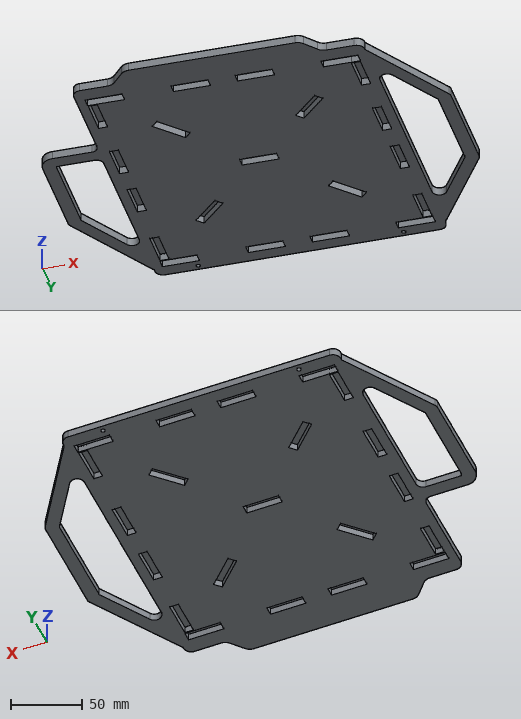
import cadquery as cq
import math

thickness = 6.3
body_half_width = 106.2
body_top_y = 120.0
body_bottom_y = -106.0
body_corner_radius = 6.0

tab_bottom_y = -120.0
tab_root_half_width = 76.5
tab_tip_half_width = 64.2
tab_radius = 7.5

handle_x = 150.0
handle_wall = 10.0
handle_middle_y = 6.5
handle_root_y = 112.5
handle_bend_y = 45.0
handle_bend_radius = 5.0
left_handle_bottom_y = -33.5
left_handle_corner_radius = handle_wall
left_handle_root_radius = 5.0

window_inner_x = 106.8
window_end_radius = 5.5
window_corner_radius = 1.5

hole_diameter = 3.0
hole_x = 75.0
hole_y = 115.8

pocket_length = 27.0
pocket_width = 6.5
pocket_skin = 0.7
pocket_depth = thickness - pocket_skin

inner_center_y = 6.0
column_x = 96.0
inner_column_y = 23.5
diagonal_offset = 50.5

frame_center_y = 8.0
row_y = 98.7
row_inner_x = 23.5
row_corner_x = 86.0
frame_column_y = 81.0

slope_run = handle_x - body_half_width
slope_rise = handle_root_y - handle_bend_y
slope_wall_y = handle_wall * math.hypot(slope_run, slope_rise) / slope_run
window_outer_x = handle_x - handle_wall


def prism(points):
    return cq.Workplane("XY").polyline(points).close().extrude(thickness)


def round_corners(solid, radius, points):
    """Fillet the upright edges that stand at the given points."""
    reach = 0.3
    for x, y in points:
        near_point = cq.selectors.BoxSelector(
            (x - reach, y - reach, -reach),
            (x + reach, y + reach, thickness + reach),
        )
        solid = solid.edges("|Z").edges(near_point).fillet(radius)
    return solid


def below_middle(y):
    """Mirror a Y position about the middle of the handles."""
    return 2 * handle_middle_y - y


def window_slope_y(x):
    """Y of the upper sloping window edge at distance x from the plate's center line."""
    outer_edge_y = handle_root_y - (x - body_half_width) * slope_rise / slope_run
    return outer_edge_y - slope_wall_y


def plate():
    top_left = (-body_half_width, body_top_y)
    top_right = (body_half_width, body_top_y)
    bottom_left = (-body_half_width, body_bottom_y)
    bottom_right = (body_half_width, body_bottom_y)

    right_upper_bend = (handle_x, handle_bend_y)
    right_lower_bend = (handle_x, below_middle(handle_bend_y))
    left_bend = (-handle_x, handle_bend_y)
    left_corner = (-handle_x, left_handle_bottom_y)
    left_root = (-body_half_width, left_handle_bottom_y)

    tab_right = [(tab_root_half_width, body_bottom_y), (tab_tip_half_width, tab_bottom_y)]
    tab_left = [(-tab_tip_half_width, tab_bottom_y), (-tab_root_half_width, body_bottom_y)]

    outline = [
        top_left,
        top_right,
        (body_half_width, handle_root_y),
        right_upper_bend,
        right_lower_bend,
        (body_half_width, below_middle(handle_root_y)),
        bottom_right,
        *tab_right,
        *tab_left,
        bottom_left,
        left_root,
        left_corner,
        left_bend,
        (-body_half_width, handle_root_y),
    ]
    solid = prism(outline)
    solid = round_corners(solid, body_corner_radius, [top_left, top_right, bottom_right, bottom_left])
    solid = round_corners(solid, tab_radius, tab_right + tab_left)
    solid = round_corners(solid, handle_bend_radius, [right_upper_bend, right_lower_bend, left_bend])
    solid = round_corners(solid, left_handle_corner_radius, [left_corner])
    return round_corners(solid, left_handle_root_radius, [left_root])


def right_window():
    tip_y = window_slope_y(window_inner_x)
    bend_y = window_slope_y(window_outer_x)
    upper_tip = (window_inner_x, tip_y)
    lower_tip = (window_inner_x, below_middle(tip_y))
    upper_bend = (window_outer_x, bend_y)
    lower_bend = (window_outer_x, below_middle(bend_y))
    window = prism([upper_tip, upper_bend, lower_bend, lower_tip])
    return round_corners(window, window_end_radius, [upper_tip, lower_tip])


def left_window():
    bottom_y = left_handle_bottom_y + handle_wall
    tip = (-window_inner_x, window_slope_y(window_inner_x))
    bend = (-window_outer_x, window_slope_y(window_outer_x))
    outer_corner = (-window_outer_x, bottom_y)
    inner_corner = (-window_inner_x, bottom_y)
    window = prism([tip, bend, outer_corner, inner_corner])
    window = round_corners(window, window_end_radius, [tip, inner_corner])
    return round_corners(window, window_corner_radius, [outer_corner])


def small_holes():
    centers = [(-hole_x, hole_y), (hole_x, hole_y)]
    return cq.Workplane("XY").pushPoints(centers).circle(hole_diameter / 2).extrude(thickness)


def pocket(x, y, turn):
    """One pocket centered at x, y, turned by the given angle from the X direction."""
    block = cq.Workplane("XY").rect(pocket_length, pocket_width).extrude(pocket_depth)
    return block.rotate((0, 0, 0), (0, 0, 1), turn).translate((x, y, 0))


def all_pockets():
    placed = [pocket(0, inner_center_y, 0)]
    for side in (-1, 1):
        for up in (-1, 1):
            row = frame_center_y + up * row_y
            placed += [
                pocket(side * row_inner_x, row, 0),
                pocket(side * row_corner_x, row, 0),
                pocket(side * column_x, frame_center_y + up * frame_column_y, 90),
                pocket(side * column_x, inner_center_y + up * inner_column_y, 90),
                pocket(side * diagonal_offset, inner_center_y + up * diagonal_offset, side * up * 45),
            ]
    return placed


result = plate()
for cutter in [right_window(), left_window(), small_holes()] + all_pockets():
    result = result.cut(cutter)